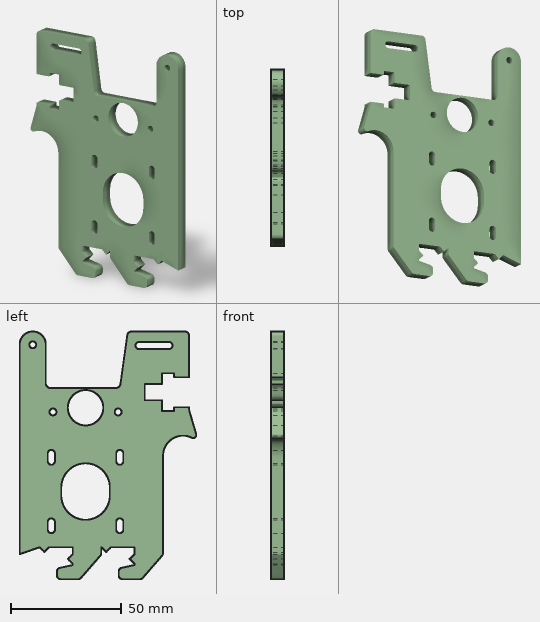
import cadquery as cq
import math

thickness = 6.0
height = 112.4
width = 80.1

arm_width = 11.9
arm_radius = arm_width / 2
gap_floor_z = 86.7
gap_end_u = 45.4
head_left_u = 49.0
head_right_u = 76.9
corner_radius = 2.0

notch_z = 84.8
mouth_half_height = 6.7
pocket_half_height = 8.5
inner_half_height = 3.6
lip_u = 69.9
pocket_u = 64.6
notch_end_u = 56.7
notch_edge_radius = 0.5

body_right_u = 65.1
hollow_radius = 9.0
hollow_z = 56.1
nose_radius = 1.5
nose_slope = math.radians(16.5)
nose_blend_radius = 6.7

hook_pitch = 28.0
hook_heel_z = 11.2
hook_length = 20.2
hook_shank_width = 13.0
hook_bottom_length = 10.5
hook_toe_z = 5.0
hook_throat_z = 6.5
barb_depth = 2.2
barb_low_z = 7.1
barb_high_z = 11.3
hook_round = 1.8
bottom_edge_z = 14.5
tooth_half_width = 2.1
tooth_height = 2.1
left_corner_z = 11.3
hook_heels = [body_right_u, body_right_u - hook_pitch]

center_u = 29.9
small_hole_diameter = 3.0
arm_hole_z = 106.3
bore_diameter = 16.0
bore_z = 77.8
side_hole_spacing = 29.5
side_hole_z = 75.8
head_slot_u = 60.9
head_slot_z = 106.0
head_slot_length = 16.7
slot_width = 3.1
mount_slot_length = 6.6
mount_slot_spacing = 31.0
window_z = 39.8
window_width = 21.9
window_length = 25.5

plane = cq.Plane(origin=(0, 0, 0), xDir=(0, -1, 0), normal=(-1, 0, 0))

hollow_u = body_right_u + hollow_radius
nose_u = width - nose_radius
nose_reach = hollow_radius + nose_radius
nose_angle = math.acos((nose_u - hollow_u) / nose_reach)
nose_z = hollow_z + nose_reach * math.sin(nose_angle)


def on_circle(u, z, radius, angle):
    return (u + radius * math.cos(angle), z + radius * math.sin(angle))


slope_end = on_circle(nose_u, nose_z, nose_radius, nose_slope)
nose_tip = on_circle(nose_u, nose_z, nose_radius, 0)
nose_end = on_circle(nose_u, nose_z, nose_radius, nose_angle - math.pi)
hollow_middle = on_circle(hollow_u, hollow_z, hollow_radius, (nose_angle + math.pi) / 2)
slope_start_z = slope_end[1] + (slope_end[0] - head_right_u) / math.tan(nose_slope)


def notch_points():
    """Notch outline from the upper mouth corner round to the lower one."""
    upper = [
        (head_right_u, mouth_half_height),
        (lip_u, mouth_half_height),
        (lip_u, pocket_half_height),
        (pocket_u, pocket_half_height),
        (pocket_u, inner_half_height),
        (notch_end_u, inner_half_height),
    ]
    lower = [(u, -offset) for u, offset in reversed(upper)]
    return [(u, notch_z + offset) for u, offset in upper + lower]


def hook_points(heel_u):
    """One hook and the tooth beside it, traced from the heel toward u = 0."""
    toe_u = heel_u - hook_length
    shank_u = heel_u - hook_shank_width
    tooth_u = heel_u - hook_pitch + tooth_half_width
    return [
        (heel_u, hook_heel_z),
        (toe_u + hook_bottom_length, 0),
        (toe_u, 0),
        (toe_u, hook_toe_z),
        (shank_u, hook_throat_z),
        (shank_u, barb_low_z),
        (shank_u - barb_depth, (barb_low_z + barb_high_z) / 2),
        (shank_u, barb_high_z),
        (shank_u, bottom_edge_z),
        (tooth_u + tooth_half_width, bottom_edge_z),
        (tooth_u, bottom_edge_z - tooth_height),
        (tooth_u - tooth_half_width, bottom_edge_z),
    ]


def outline():
    profile = cq.Workplane(plane).moveTo(0, height - arm_radius)
    profile = profile.threePointArc((arm_radius, height), (arm_width, height - arm_radius))
    profile = profile.lineTo(arm_width, gap_floor_z).lineTo(gap_end_u, gap_floor_z)
    profile = profile.lineTo(head_left_u, height).lineTo(head_right_u, height)
    for point in notch_points():
        profile = profile.lineTo(*point)
    profile = profile.lineTo(head_right_u, slope_start_z).lineTo(*slope_end)
    profile = profile.threePointArc(nose_tip, nose_end)
    profile = profile.threePointArc(hollow_middle, (body_right_u, hollow_z))
    for heel_u in hook_heels:
        for point in hook_points(heel_u):
            profile = profile.lineTo(*point)
    return profile.lineTo(0, left_corner_z).close()


def round_corners(body, points, radius):
    """Round the through-thickness edges standing at the given profile points."""
    for u, z in points:
        edge = cq.selectors.NearestToPointSelector((-thickness / 2, -u, z))
        body = body.edges("|X").edges(edge).fillet(radius)
    return body


def cut_slots(body, points, length, slot_size, angle):
    cutter = cq.Workplane(plane).pushPoints(points).slot2D(length, slot_size, angle)
    return body.cut(cutter.extrude(thickness))


def cut_holes(body, points, diameter):
    cutter = cq.Workplane(plane).pushPoints(points).circle(diameter / 2)
    return body.cut(cutter.extrude(thickness))


plate = outline().extrude(thickness)

plate = round_corners(
    plate,
    [
        (arm_width, gap_floor_z),
        (gap_end_u, gap_floor_z),
        (head_left_u, height),
        (head_right_u, height),
    ],
    corner_radius,
)
plate = round_corners(plate, [(head_right_u, slope_start_z)], nose_blend_radius)
for side in (1, -1):
    notch_corners = [
        (lip_u, notch_z + side * mouth_half_height),
        (pocket_u, notch_z + side * inner_half_height),
    ]
    plate = round_corners(plate, notch_corners, notch_edge_radius)
for heel_u in hook_heels:
    toe_u = heel_u - hook_length
    hook_corners = [
        (heel_u, hook_heel_z),
        (toe_u + hook_bottom_length, 0),
        (toe_u, 0),
        (toe_u, hook_toe_z),
    ]
    plate = round_corners(plate, hook_corners, hook_round)

side_holes = [(center_u + side * side_hole_spacing / 2, side_hole_z) for side in (-1, 1)]
plate = cut_holes(plate, [(arm_radius, arm_hole_z)] + side_holes, small_hole_diameter)
plate = cut_holes(plate, [(center_u, bore_z)], bore_diameter)

mount_slots = [
    (center_u + across * mount_slot_spacing / 2, window_z + up * mount_slot_spacing / 2)
    for across in (-1, 1)
    for up in (-1, 1)
]
plate = cut_slots(plate, [(head_slot_u, head_slot_z)], head_slot_length, slot_width, 0)
plate = cut_slots(plate, mount_slots, mount_slot_length, slot_width, 90)
plate = cut_slots(plate, [(center_u, window_z)], window_length, window_width, 90)

result = plate